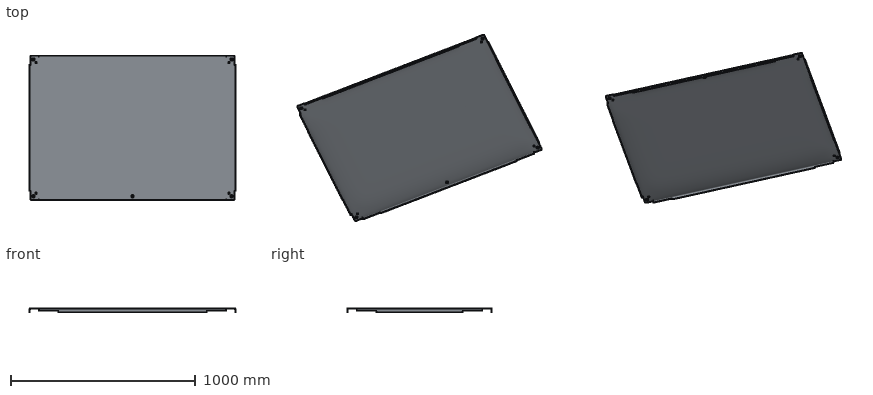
import cadquery as cq
import math

length = 1116.0
width = 782.0
height = 22.0
sheet = 2.5

panel_length = 1107.0
corner_radius = 7.1

bend_radius = 5.2
step_height = 8.0
flange_corner_radius = 5.0
side_flange_length = 1016.0
side_flange_deep_length = 806.0
end_flange_length = 682.0
end_flange_deep_length = 469.0

mount_diameter = 12.0
mount_x = 537.0
mount_y = 370.0
pilot_diameter = 7.1
pilot_x = 522.0
pilot_y = 354.0


def make_panel():
    """Flat sheet with rounded corners."""
    panel = cq.Workplane("XY").rect(panel_length, width).extrude(-sheet)
    return panel.edges("|Z").fillet(corner_radius)


def make_bent_strip(reach, strip_length):
    """Full-depth strip along X, bent down so that its outer face is at Y = -reach."""
    inner_radius = bend_radius - sheet
    bend_y = bend_radius - reach
    diagonal = math.sqrt(0.5)

    def arc_middle(radius):
        return (bend_y - radius * diagonal, radius * diagonal - bend_radius)

    return (
        cq.Workplane("YZ")
        .moveTo(bend_y, 0)
        .threePointArc(arc_middle(bend_radius), (-reach, -bend_radius))
        .lineTo(-reach, -height)
        .lineTo(sheet - reach, -height)
        .lineTo(sheet - reach, -bend_radius)
        .threePointArc(arc_middle(inner_radius), (bend_y, -sheet))
        .close()
        .extrude(strip_length / 2, both=True)
    )


def make_tab(tab_length, depth, reach):
    """Block hanging down from Z = 0 with rounded lower corners, used to shape a flange."""
    tab = cq.Workplane("XY").box(tab_length, reach, depth, centered=(True, False, False))
    tab = tab.translate((0, -reach, -depth))
    return tab.faces("<Z").edges("|Y").fillet(flange_corner_radius)


def add_flange(panel, reach, strip_length, deep_length, angle):
    """Replace one panel edge by a stepped flange, turned about Z to its side."""
    shallow_tab = make_tab(strip_length, height - step_height, reach)
    deep_tab = make_tab(deep_length, height, reach)
    flange = make_bent_strip(reach, strip_length).intersect(shallow_tab.union(deep_tab))

    flat_edge = cq.Workplane("XY").box(strip_length, 2 * bend_radius, height).translate((0, -reach, 0))

    axis_start = (0, 0, 0)
    axis_end = (0, 0, 1)
    trimmed_panel = panel.cut(flat_edge.rotate(axis_start, axis_end, angle))
    return trimmed_panel.union(flange.rotate(axis_start, axis_end, angle))


def drill(body, points, diameter):
    """Through holes in the panel."""
    return body.cut(cq.Workplane("XY").pushPoints(points).circle(diameter / 2).extrude(-sheet))


def corner_points(x, y):
    """One point in each corner of the panel."""
    return [(side_x * x, side_y * y) for side_x in (-1, 1) for side_y in (-1, 1)]


body = make_panel()
for angle in (0, 180):
    body = add_flange(body, width / 2, side_flange_length, side_flange_deep_length, angle)
for angle in (90, 270):
    body = add_flange(body, length / 2, end_flange_length, end_flange_deep_length, angle)

body = drill(body, corner_points(mount_x, mount_y) + [(0, -mount_y)], mount_diameter)
body = drill(body, corner_points(pilot_x, pilot_y), pilot_diameter)

result = body